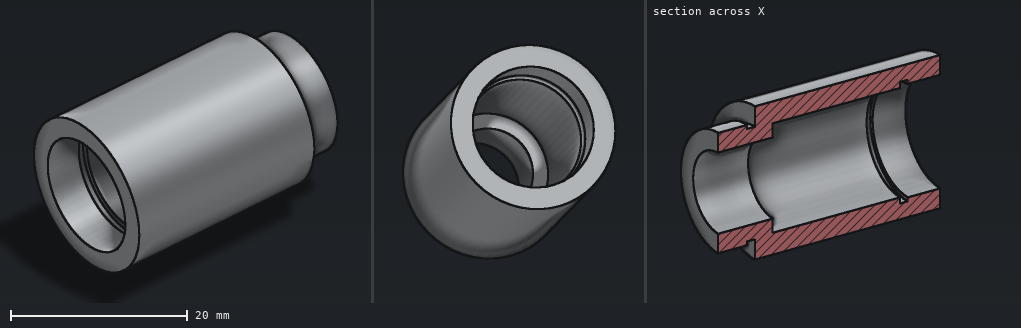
import cadquery as cq

total_length = 30.4
body_diameter = 19.05
head_diameter = 15.0
head_length = 4.0
neck_diameter = 14.0
neck_length = 1.0

bore_diameter = 10.0
socket_diameter = 14.0
groove_diameter = 15.0
groove_start = 4.5
groove_width = 1.0
chamber_diameter = 13.5

body_length = total_length - head_length - neck_length
head_wall = (head_diameter - bore_diameter) / 2
chamber_depth = body_length - head_wall
front_y = -total_length / 2


def cylinder(diameter, start, length):
    """Cylinder along +Y, starting a given distance behind the front face."""
    plane = cq.Workplane("XZ", origin=(0, front_y + start, 0))
    return plane.circle(diameter / 2).extrude(-length)


body = cylinder(body_diameter, 0, body_length)
neck = cylinder(neck_diameter, body_length, neck_length)
head = cylinder(head_diameter, body_length + neck_length, head_length)
sleeve = body.union(neck).union(head)

socket = cylinder(socket_diameter, 0, groove_start)
groove = cylinder(groove_diameter, groove_start, groove_width)
chamber = cylinder(chamber_diameter, 0, chamber_depth)
bore = cylinder(bore_diameter, 0, total_length)

result = sleeve.cut(socket).cut(groove).cut(chamber).cut(bore)